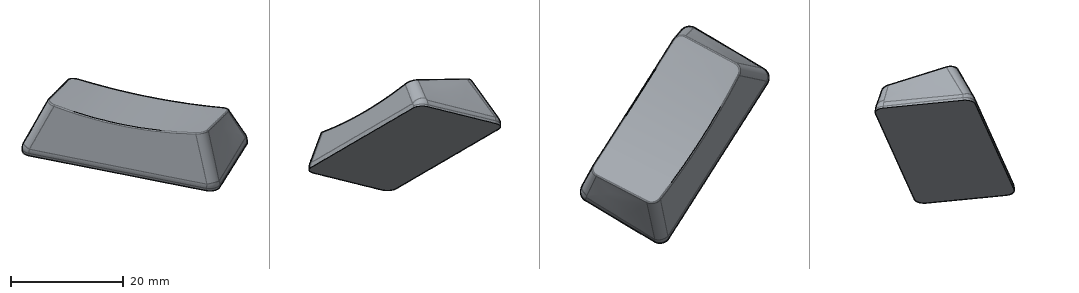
import cadquery as cq
import math

length = 37.2
width = 18.15
skirt_height = 0.93

top_length = 29.9
top_front_y = -5.0
top_back_y = 8.65
top_height = 8.4
top_slope = 13.7

dish_span = 30.5
dish_end_height = 8.25
dish_front_depth = 1.6
dish_back_depth = 1.05

wall_radius = 1.85
rim_radius = 0.25

clearance = 0.05


def fall_of_top(y):
    """Drop of the sloping top between y = 0 and the given y."""
    return y * math.tan(math.radians(top_slope))


def rectangle_wire(x_size, front_y, back_y, front_z, back_z):
    half = x_size / 2
    corners = [
        cq.Vector(-half, front_y, front_z),
        cq.Vector(half, front_y, front_z),
        cq.Vector(half, back_y, back_z),
        cq.Vector(-half, back_y, back_z),
    ]
    return cq.Wire.makePolygon(corners, close=True)


def make_sharp_blank():
    """Upright skirt joined by ruled walls to the sloping top outline."""
    skirt = cq.Workplane("XY").rect(length, width).extrude(skirt_height)
    shoulder = rectangle_wire(length, -width / 2, width / 2, skirt_height, skirt_height)
    top = rectangle_wire(
        top_length,
        top_front_y,
        top_back_y,
        top_height - fall_of_top(top_front_y),
        top_height - fall_of_top(top_back_y),
    )
    walls = cq.Solid.makeLoft([shoulder, top], True)
    return skirt.union(cq.Workplane(walls))


def round_walls(blank):
    """Round every edge except the bottom outline and the sloping top outline."""
    just_below_top = top_height - fall_of_top(top_back_y) - clearance
    below_top_outline = cq.selectors.BoxSelector((-length, -width, 0), (length, width, just_below_top))
    return blank.edges("not <Z").edges(below_top_outline).fillet(wall_radius)


def dish_section(y, depth):
    """Closed outline of the dish cutter: an arc below, open space above."""
    half = dish_span / 2
    end_height = dish_end_height - fall_of_top(y)
    above_key = end_height + top_height
    return (
        cq.Workplane("XZ", origin=(0, y, 0))
        .moveTo(-half, end_height)
        .threePointArc((0, end_height - depth), (half, end_height))
        .lineTo(half, above_key)
        .lineTo(-half, above_key)
        .close()
        .val()
    )


def make_dish():
    front = dish_section(-width / 2, dish_front_depth)
    back = dish_section(width / 2, dish_back_depth)
    return cq.Workplane(cq.Solid.makeLoft([front, back], True))


key = round_walls(make_sharp_blank()).cut(make_dish())

mean_depth = (dish_front_depth + dish_back_depth) / 2
dish_floor = cq.selectors.NearestToPointSelector((0, 0, dish_end_height - mean_depth))
result = key.faces(dish_floor).edges().fillet(rim_radius)